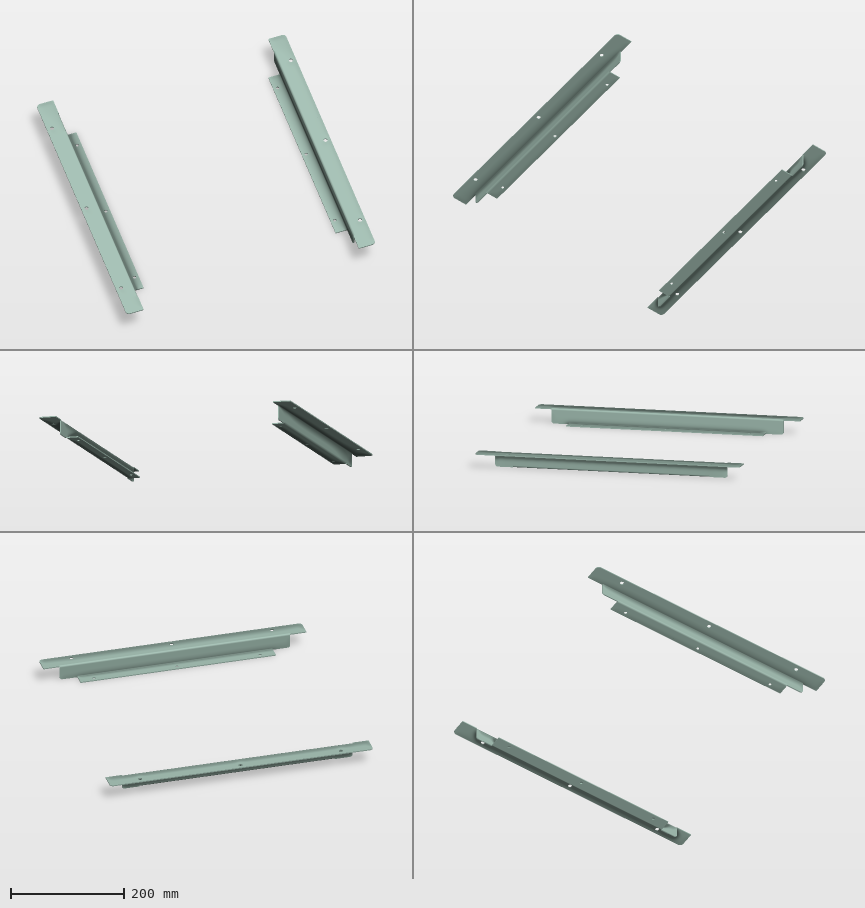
import cadquery as cq

thickness = 1.9
bend_inner_radius = 1.3
bend_outer_radius = bend_inner_radius + thickness
overall_length = 482.6
overall_width = 466.09
height = 27.3

upper_depth = 31.75
upper_corner_radius = 6.35
upper_hole_pitch = 184.15
upper_hole_diameter = 7.14
upper_hole_inset = 9.525

wall_length = 422.9
wall_corner_radius = 4.75

lower_length = 358.3
lower_depth = 21.6
lower_hole_pitch = 152.4
lower_hole_diameter = 5.54
lower_hole_inset = 7.75

outer_y = overall_width / 2
wall_inner_y = outer_y - upper_depth
wall_outer_y = wall_inner_y + thickness
free_edge_y = wall_inner_y - lower_depth
top_bend_y = wall_inner_y + bend_outer_radius
bottom_bend_y = wall_outer_y - bend_outer_radius

underside_z = height - thickness
top_bend_z = height - bend_outer_radius
bottom_bend_z = bend_outer_radius


def block(length, y_min, y_max, z_min, z_max):
    """Box centred on X = 0 that spans the given Y and Z limits."""
    size_y = y_max - y_min
    size_z = z_max - z_min
    box = cq.Workplane("XY").box(length, size_y, size_z, centered=(True, False, False))
    return box.translate((0, y_min, z_min))


def upper_flange():
    """Flat flange whose ends reach past the bend to the inward face of the wall."""
    flange = block(overall_length, wall_inner_y, outer_y, underside_z, height)
    flange = flange.edges("|Z and >Y").fillet(upper_corner_radius)
    bend_notch = block(wall_length, wall_inner_y, top_bend_y, underside_z, height)
    return flange.cut(bend_notch)


def top_bend():
    profile = (
        cq.Workplane("YZ")
        .moveTo(wall_inner_y, top_bend_z)
        .radiusArc((top_bend_y, height), bend_outer_radius)
        .lineTo(top_bend_y, underside_z)
        .radiusArc((wall_outer_y, top_bend_z), -bend_inner_radius)
        .close()
    )
    return profile.extrude(wall_length / 2, both=True)


def wall():
    """Upright web whose ends reach down past the lower bend."""
    web = block(wall_length, wall_inner_y, wall_outer_y, 0, top_bend_z)
    web = web.edges("|Y and <Z").fillet(wall_corner_radius)
    bend_notch = block(lower_length, wall_inner_y, wall_outer_y, 0, bottom_bend_z)
    return web.cut(bend_notch)


def lower_flange_with_bend():
    profile = (
        cq.Workplane("YZ")
        .moveTo(wall_outer_y, bottom_bend_z)
        .radiusArc((bottom_bend_y, 0), bend_outer_radius)
        .lineTo(free_edge_y, 0)
        .lineTo(free_edge_y, thickness)
        .lineTo(bottom_bend_y, thickness)
        .radiusArc((wall_inner_y, bottom_bend_z), -bend_inner_radius)
        .close()
    )
    return profile.extrude(lower_length / 2, both=True)


def hole_row(pitch, y, diameter):
    """Cutters for three holes, one at mid-length and one a pitch to each side."""
    centres = [(x, y) for x in (-pitch, 0, pitch)]
    return cq.Workplane("XY").pushPoints(centres).circle(diameter / 2).extrude(height)


def rear_bracket():
    bracket = upper_flange().union(top_bend()).union(wall()).union(lower_flange_with_bend())
    upper_holes = hole_row(upper_hole_pitch, outer_y - upper_hole_inset, upper_hole_diameter)
    lower_holes = hole_row(lower_hole_pitch, free_edge_y + lower_hole_inset, lower_hole_diameter)
    return bracket.cut(upper_holes).cut(lower_holes)


brackets = []
for turn in (0, 180):
    bracket = rear_bracket().rotate((0, 0, 0), (0, 0, 1), turn)
    brackets.append(bracket.val())

result = cq.Compound.makeCompound(brackets)